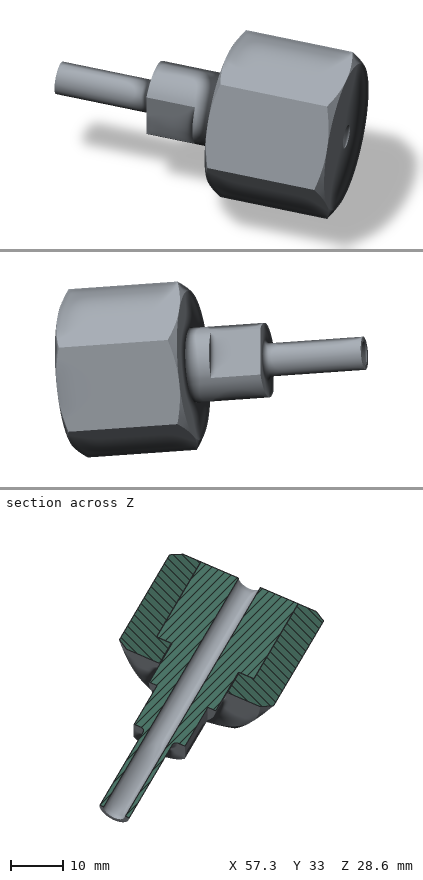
import cadquery as cq
import math

overall_length = 57.34
nut_flats = 28.575
nut_sides = 6
nut_length = 23.9
nut_chamfer_angle = 30.0
hole_clearance = 0.08
nut_wall = 5.0

tube_diameter = 6.35
tube_length = 19.1
bore_diameter = 4.57
root_fillet = 0.79
shank_diameter = 14.29
wrench_flats = 10.93
wrench_flat_length = 9.7
head_diameter = 20.95

nut_start = overall_length - nut_length
head_start = nut_start + nut_wall
nut_corners = nut_flats / math.cos(math.pi / nut_sides)
face_radius = nut_flats / 2
chamfer_slope = math.tan(math.radians(nut_chamfer_angle))
nut_hole_diameter = shank_diameter + 2 * hole_clearance


def cylinder_along_x(diameter, start, end):
    return cq.Workplane("YZ", origin=(start, 0, 0)).circle(diameter / 2).extrude(end - start)


def make_gland():
    """Tube stub, shank with two wrench flats and retaining head, bored through."""
    tube = cylinder_along_x(tube_diameter, 0, tube_length)
    shank = cylinder_along_x(shank_diameter, tube_length, head_start)
    head = cylinder_along_x(head_diameter, head_start, overall_length)

    for side in (1, -1):
        segment = cq.Workplane("XY").box(
            wrench_flat_length, shank_diameter, shank_diameter, centered=(False, True, True)
        )
        segment_center = side * (wrench_flats + shank_diameter) / 2
        shank = shank.cut(segment.translate((tube_length, segment_center, 0)))

    gland = tube.union(shank).union(head)
    root_center = (tube_length, 0, 0)
    gland = gland.edges(cq.selectors.NearestToPointSelector(root_center)).fillet(root_fillet)

    return gland.cut(cylinder_along_x(bore_diameter, 0, overall_length))


def make_nut():
    """Hexagonal nut with both ends chamfered and a stepped hole for the gland."""
    hexagon = cq.Workplane("YZ", origin=(nut_start, 0, 0)).polygon(nut_sides, nut_corners).extrude(nut_length)

    envelope_radius = nut_corners / 2
    chamfer_depth = (envelope_radius - face_radius) * chamfer_slope
    envelope = (
        cq.Workplane("XY")
        .moveTo(nut_start, 0)
        .lineTo(nut_start, face_radius)
        .lineTo(nut_start + chamfer_depth, envelope_radius)
        .lineTo(overall_length - chamfer_depth, envelope_radius)
        .lineTo(overall_length, face_radius)
        .lineTo(overall_length, 0)
        .close()
        .revolve(360, (0, 0, 0), (1, 0, 0))
    )
    hole = cylinder_along_x(nut_hole_diameter, nut_start, head_start)
    recess = cylinder_along_x(head_diameter, head_start, overall_length)
    return hexagon.intersect(envelope).cut(hole).cut(recess)


gland = make_gland()
nut = make_nut()

result = cq.Compound.makeCompound([gland.val(), nut.val()])